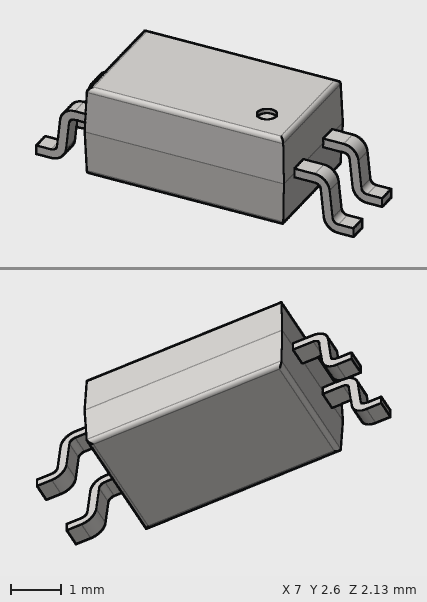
import cadquery as cq
import math

BODY_LENGTH = 4.4
BODY_WIDTH = 2.6
BODY_HEIGHT = 2.0
STANDOFF = 0.126
DRAFT_ANGLE = 2.0
RIM_RADIUS = 0.1

HALF_HEIGHT = BODY_HEIGHT / 2
PARTING_Z = STANDOFF + HALF_HEIGHT
BODY_TOP_Z = STANDOFF + BODY_HEIGHT

DIMPLE_DIAMETER = 0.4
DIMPLE_DEPTH = 0.1
DIMPLE_X = 1.45
DIMPLE_Y = -0.55

LEAD_SPAN = 7.0
LEAD_PITCH = 1.27
LEAD_WIDTH = 0.4
LEAD_THICKNESS = 0.2
FOOT_LENGTH = 0.33
INNER_RADIUS = 0.13
BEND_ANGLE = math.radians(84)
LEAD_EMBED = 0.3

OUTER_RADIUS = INNER_RADIUS + LEAD_THICKNESS
LEAD_TOP_Z = PARTING_Z + LEAD_THICKNESS / 2


def body_half(direction):
    """Drafted half of the body; direction is +1 for the upper half, -1 for the lower."""
    half = (
        cq.Workplane("XY")
        .rect(BODY_LENGTH, BODY_WIDTH)
        .extrude(HALF_HEIGHT, taper=DRAFT_ANGLE)
        .faces(">Z")
        .edges()
        .fillet(RIM_RADIUS)
    )
    if direction < 0:
        half = half.mirror("XY")
    return half.translate((0, 0, PARTING_Z))


def pin_one_dimple():
    return (
        cq.Workplane("XY", origin=(DIMPLE_X, DIMPLE_Y, BODY_TOP_Z))
        .circle(DIMPLE_DIAMETER / 2)
        .extrude(-DIMPLE_DEPTH)
    )


def arc_point(center, radius, angle):
    """Point on a circle, with the angle in radians measured from +X towards +Z."""
    return (center[0] + radius * math.cos(angle), center[1] + radius * math.sin(angle))


def lead(y_center):
    """Lead on the -X side: foot, lower bend, sloping leg, upper bend, shoulder."""
    toe_x = -LEAD_SPAN / 2
    shoulder_end_x = -BODY_LENGTH / 2 + LEAD_EMBED

    radius_sum = INNER_RADIUS + OUTER_RADIUS
    rise = LEAD_TOP_Z - 2 * OUTER_RADIUS
    leg_length = (rise + radius_sum * math.cos(BEND_ANGLE)) / math.sin(BEND_ANGLE)
    run = radius_sum * math.sin(BEND_ANGLE) + leg_length * math.cos(BEND_ANGLE)
    lower = (toe_x + FOOT_LENGTH, OUTER_RADIUS)
    upper = (lower[0] + run, lower[1] + rise)

    down = -math.pi / 2
    up = math.pi / 2
    lower_end = down + BEND_ANGLE
    lower_mid = down + BEND_ANGLE / 2
    upper_end = up + BEND_ANGLE
    upper_mid = up + BEND_ANGLE / 2

    return (
        cq.Workplane("XZ", origin=(0, y_center, 0))
        .moveTo(toe_x, 0)
        .lineTo(lower[0], 0)
        .threePointArc(arc_point(lower, OUTER_RADIUS, lower_mid), arc_point(lower, OUTER_RADIUS, lower_end))
        .lineTo(*arc_point(upper, INNER_RADIUS, upper_end))
        .threePointArc(arc_point(upper, INNER_RADIUS, upper_mid), arc_point(upper, INNER_RADIUS, up))
        .lineTo(shoulder_end_x, LEAD_TOP_Z - LEAD_THICKNESS)
        .lineTo(shoulder_end_x, LEAD_TOP_Z)
        .lineTo(upper[0], LEAD_TOP_Z)
        .threePointArc(arc_point(upper, OUTER_RADIUS, upper_mid), arc_point(upper, OUTER_RADIUS, upper_end))
        .lineTo(*arc_point(lower, INNER_RADIUS, lower_end))
        .threePointArc(arc_point(lower, INNER_RADIUS, lower_mid), arc_point(lower, INNER_RADIUS, down))
        .lineTo(toe_x, LEAD_THICKNESS)
        .close()
        .extrude(LEAD_WIDTH / 2, both=True)
    )


part = body_half(1).union(body_half(-1)).cut(pin_one_dimple())
for y_center in (-LEAD_PITCH / 2, LEAD_PITCH / 2):
    left_lead = lead(y_center)
    part = part.union(left_lead).union(left_lead.mirror("YZ"))

result = part